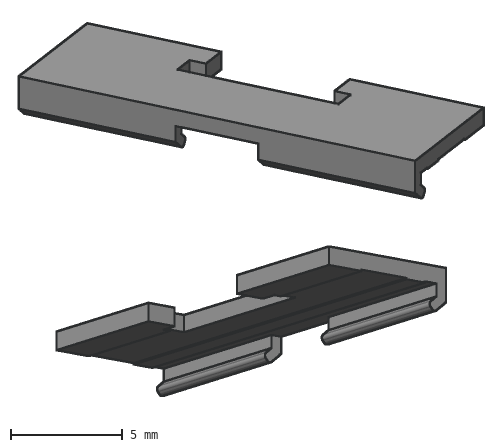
import cadquery as cq
import math

length = 20
width = 6.6
height = 2.08

plate_thickness = 0.85
recess_depth = 0.05
wide_recess_start = 2.25
wide_recess_end = 4.75
hook_recess_end = 1.2

hook_wall = 0.55
hook_angle = 40
outer_bend_depth = 1.58
inner_bend_depth = 1.4
tip_radius = 0.18
hook_gap = 4.15

slot_mouth_length = 6.48
slot_inner_length = 8.12
slot_mouth_depth = 1.48
slot_depth = 2.65

slope = math.radians(hook_angle)
corner_depth = height + tip_radius * (math.sin(slope) + math.cos(slope) - 1)
outer_tip_y = (corner_depth - outer_bend_depth) / math.tan(slope)
bend_rise = outer_bend_depth - inner_bend_depth
tip_thickness = hook_wall * math.sin(slope) + bend_rise * math.cos(slope)
inner_tip_y = outer_tip_y + tip_thickness * math.sin(slope)
inner_tip_depth = corner_depth - tip_thickness * math.cos(slope)


def make_body():
    """Extruded side outline, front face at Y = 0 and top at Z = 0."""
    recess_z = recess_depth - plate_thickness
    outline = [
        (0, 0),
        (width, 0),
        (width, -plate_thickness),
        (wide_recess_end, -plate_thickness),
        (wide_recess_end, recess_z),
        (wide_recess_start, recess_z),
        (wide_recess_start, -plate_thickness),
        (hook_recess_end, -plate_thickness),
        (hook_recess_end, recess_z),
        (hook_wall, recess_z),
        (hook_wall, -inner_bend_depth),
        (inner_tip_y, -inner_tip_depth),
        (outer_tip_y, -corner_depth),
        (0, -outer_bend_depth),
    ]
    body = cq.Workplane("YZ").polyline(outline).close().extrude(length / 2, both=True)
    for y, depth in [(inner_tip_y, inner_tip_depth), (outer_tip_y, corner_depth)]:
        edge = cq.selectors.NearestToPointSelector((0, y, -depth))
        body = body.edges("|X").edges(edge).fillet(tip_radius)
    return body


def cutter(size_x, y_start, y_end, top_z):
    """Box centred on X, reaching from top_z down past the hook."""
    return (
        cq.Workplane("XY", origin=(0, (y_start + y_end) / 2, top_z))
        .box(size_x, y_end - y_start, 2 * height, centered=(True, True, False))
        .translate((0, 0, -2 * height))
    )


body = make_body()
slot_mouth = cutter(slot_mouth_length, width - slot_mouth_depth, width, 0)
slot_inner = cutter(slot_inner_length, width - slot_depth, width - slot_mouth_depth, 0)
gap_in_hook = cutter(hook_gap, 0, hook_recess_end, recess_depth - plate_thickness)

result = body.cut(slot_mouth).cut(slot_inner).cut(gap_in_hook)